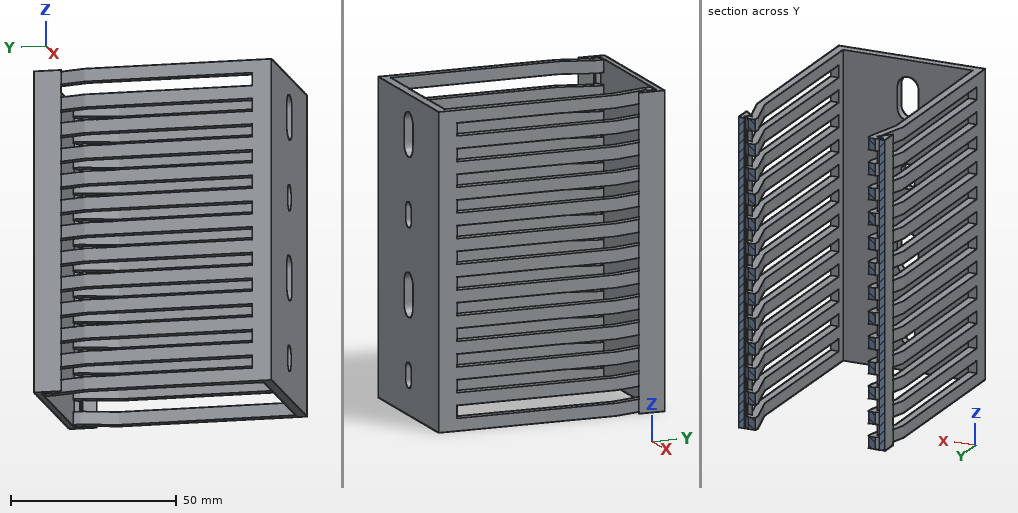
import cadquery as cq

WIDTH = 49.0
DEPTH = 73.8
LENGTH = 100.0

COVER_THICKNESS = 2.0
ARM_THICKNESS = 2.0
ARM_DEPTH = 8.5
HOOK_LEDGE_Y = -4.9
HOOK_REACH = ARM_DEPTH + HOOK_LEDGE_Y

BARB_TIP_INSET = 1.2
BARB_Y = -4.1
HEAD_TOP_Y = -2.2
HEAD_KNEE_Y = -4.7
HEAD_FLAT_INSET = 4.0
HEAD_INNER_INSET = 5.6
HEAD_ROUND = 0.8

FLOOR_THICKNESS = 3.0
WALL_AT_FLOOR = 2.8
WALL_AT_BEND = 2.5
BEND_OUTER_Y = -15.8
BEND_INNER_Y = -16.0

GAP_COUNT = 12
FINGER_HEIGHT = LENGTH / (2 * GAP_COUNT + 1)
GAP_PITCH = 2 * FINGER_HEIGHT
SOLID_BASE_DEPTH = 6.0

SLOT_PITCH = LENGTH / 4
LARGE_SLOT_LENGTH = 14.0
LARGE_SLOT_WIDTH = 7.0
SMALL_SLOT_LENGTH = 8.0
SMALL_SLOT_WIDTH = 4.5

FRONT_Y = -DEPTH
HALF_WIDTH = WIDTH / 2

BARB_SLOPE = (HEAD_TOP_Y - BARB_Y) / (HEAD_FLAT_INSET - BARB_TIP_INSET)
GROOVE_MOUTH_Y = BARB_Y + BARB_SLOPE * (ARM_THICKNESS - BARB_TIP_INSET)

FLANK_SLOPE = (HEAD_INNER_INSET - WALL_AT_BEND) / (HEAD_KNEE_Y - BEND_INNER_Y)
HOOK_EXIT_Y = (FLANK_SLOPE * BEND_OUTER_Y + ARM_DEPTH) / (FLANK_SLOPE - 1)
HOOK_EXIT_INSET = ARM_DEPTH + HOOK_EXIT_Y


def symmetric_extrusion(half_outline):
    """Extrude along Z the closed outline made of (inset from the -X side, y) points and their mirror."""
    left = [(inset - HALF_WIDTH, y) for inset, y in half_outline]
    right = [(-x, y) for x, y in reversed(left)]
    return cq.Workplane("XY").polyline(left + right).close().extrude(LENGTH)


def make_cover():
    return symmetric_extrusion([
        (0, 0),
        (0, -ARM_DEPTH),
        (HOOK_REACH, HOOK_LEDGE_Y),
        (ARM_THICKNESS, HOOK_LEDGE_Y),
        (ARM_THICKNESS, BARB_Y),
        (BARB_TIP_INSET, BARB_Y),
        (ARM_THICKNESS, GROOVE_MOUTH_Y),
        (ARM_THICKNESS, -COVER_THICKNESS),
    ])


def make_duct_profile():
    profile = symmetric_extrusion([
        (0, FRONT_Y),
        (0, BEND_OUTER_Y),
        (HOOK_EXIT_INSET, HOOK_EXIT_Y),
        (HOOK_REACH, HOOK_LEDGE_Y),
        (ARM_THICKNESS, HOOK_LEDGE_Y),
        (ARM_THICKNESS, BARB_Y),
        (BARB_TIP_INSET, BARB_Y),
        (HEAD_FLAT_INSET, HEAD_TOP_Y),
        (HEAD_INNER_INSET, HEAD_TOP_Y),
        (HEAD_INNER_INSET, HEAD_KNEE_Y),
        (WALL_AT_BEND, BEND_INNER_Y),
        (WALL_AT_FLOOR, FRONT_Y + FLOOR_THICKNESS),
    ])
    for side in (-1, 1):
        corner_x = side * (HALF_WIDTH - HEAD_INNER_INSET)
        corner = cq.selectors.NearestToPointSelector((corner_x, HEAD_TOP_Y, LENGTH / 2))
        profile = profile.edges("|Z").edges(corner).fillet(HEAD_ROUND)
    return profile


def make_finger_gaps():
    gap_depth = DEPTH - SOLID_BASE_DEPTH
    gap_centres = [(0, (index + 0.5) * GAP_PITCH + FINGER_HEIGHT / 2) for index in range(GAP_COUNT)]
    return (
        cq.Workplane("YZ", origin=(-HALF_WIDTH, -gap_depth / 2, 0))
        .pushPoints(gap_centres)
        .rect(gap_depth, FINGER_HEIGHT)
        .extrude(WIDTH)
    )


def make_floor_slots(length, width, first_z):
    """Two upright slots, two pitches apart, through the floor."""
    return (
        cq.Workplane("XZ", origin=(0, FRONT_Y, 0))
        .pushPoints([(0, first_z), (0, first_z + 2 * SLOT_PITCH)])
        .slot2D(length, width, 90)
        .extrude(-FLOOR_THICKNESS)
    )


def make_duct():
    small_slots = make_floor_slots(SMALL_SLOT_LENGTH, SMALL_SLOT_WIDTH, SLOT_PITCH / 2)
    large_slots = make_floor_slots(LARGE_SLOT_LENGTH, LARGE_SLOT_WIDTH, SLOT_PITCH * 1.5)
    return make_duct_profile().cut(make_finger_gaps()).cut(small_slots).cut(large_slots).solids()


cover = make_cover()
duct = make_duct()

result = cq.Compound.makeCompound([cover.val(), duct.val()])